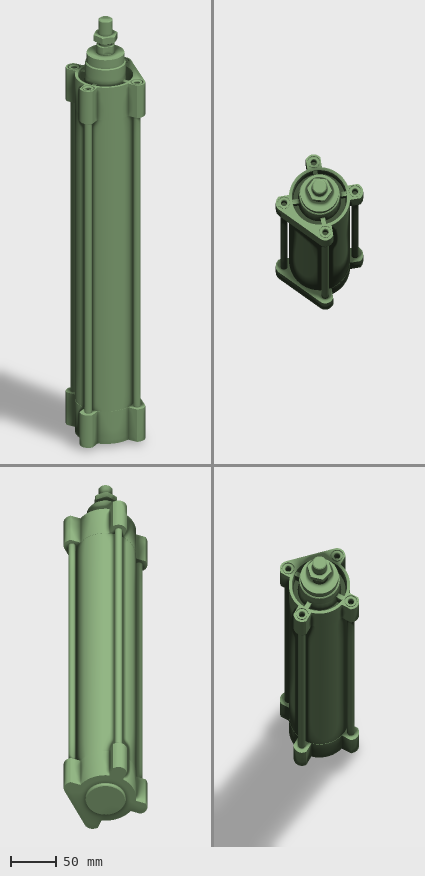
import cadquery as cq
import math

total_height = 513.0

flange_width = 75.0
cap_height = 40.0
cap_diameter = 68.0
barrel_diameter = 67.5
lug_spacing = 56.5
lug_neck_width = 16.5
recess_diameter = 61.5
recess_depth = 15.5
recess_draft = 6.0
rib_width = 5.0
rib_drop = 2.0

pilot_diameter = 45.0
pilot_chamfer = 1.0
lower_pilot_height = 4.0
upper_cap_top = 444.5
collar_step_z = 461.5
collar_top_z = 472.0
collar_diameter = 42.0

tie_rod_diameter = 8.0
groove_outer_diameter = 14.5
groove_inner_diameter = 12.0
groove_depth = 2.0
thread_hole_diameter = 6.5
thread_hole_depth = 15.5
thread_hole_mouth = 8.0

rod_diameter = 20.0
rod_flat_width = 17.0
rod_flat_length = 8.5
rod_shoulder_z = 482.0
rod_depth = 51.5
relief_diameter = 14.5
thread_diameter = 16.0
thread_start_z = 484.5
thread_chamfer = 1.0

nut_width = 24.0
nut_height = 7.5
nut_top_z = 495.0
nut_chamfer_height = 0.5
nut_chamfer_width = 1.0

lower_cap_bottom = lower_pilot_height
lower_cap_top = lower_cap_bottom + cap_height
upper_cap_bottom = upper_cap_top - cap_height
half_flange = flange_width / 2
half_spacing = lug_spacing / 2
lug_radius = half_flange - half_spacing
lug_points = [(x, y) for x in (-half_spacing, half_spacing) for y in (-half_spacing, half_spacing)]
rod_bottom_z = collar_top_z - rod_depth


def cylinder(diameter, bottom, top):
    return cq.Workplane("XY").workplane(offset=bottom).circle(diameter / 2).extrude(top - bottom)


def lug(x_side, y_side, bottom):
    """One corner lug: rounded outer corner, short flats and flanks parallel to the diagonal."""
    flat_end = half_flange - lug_neck_width / math.sqrt(2)
    corner = lug_radius * (1 - math.sqrt(0.5))
    axis_crossing = half_flange - flat_end
    profile = (
        cq.Workplane("XY").workplane(offset=bottom)
        .moveTo(x_side * flat_end, y_side * half_flange)
        .lineTo(x_side * half_spacing, y_side * half_flange)
        .threePointArc(
            (x_side * (half_flange - corner), y_side * (half_flange - corner)),
            (x_side * half_flange, y_side * half_spacing),
        )
        .lineTo(x_side * half_flange, y_side * flat_end)
        .lineTo(x_side * axis_crossing, 0)
        .lineTo(0, y_side * axis_crossing)
        .close()
    )
    return profile.extrude(cap_height)


def end_cap(bottom):
    """Round cap with four lugs, filled out to a flat face on the +Y side."""
    cap = cylinder(cap_diameter, bottom, bottom + cap_height)
    for x_side in (-1, 1):
        for y_side in (-1, 1):
            cap = cap.union(lug(x_side, y_side, bottom))
    flat_side = (
        cq.Workplane("XY").workplane(offset=bottom)
        .center(0, half_flange / 2)
        .rect(lug_spacing, half_flange)
        .extrude(cap_height)
    )
    return cap.union(flat_side)


def add_recess(housing):
    """Drafted annular recess around the upper pilot, bridged by four diagonal ribs."""
    recess = (
        cq.Workplane("XY").workplane(offset=upper_cap_top)
        .circle(recess_diameter / 2).extrude(-recess_depth, taper=recess_draft)
    )
    hub_root_diameter = pilot_diameter + 2 * recess_depth * math.tan(math.radians(recess_draft))
    hub = (
        cq.Workplane("XY").workplane(offset=upper_cap_top - recess_depth)
        .circle(hub_root_diameter / 2).extrude(recess_depth, taper=recess_draft)
    )
    pocket = recess.cut(hub)
    for angle in (45, 135):
        rib = (
            cq.Workplane("XY").workplane(offset=upper_cap_top - recess_depth)
            .rect(cap_diameter, rib_width).extrude(recess_depth - rib_drop)
            .rotate((0, 0, 0), (0, 0, 1), angle)
        )
        pocket = pocket.cut(rib)
    return housing.cut(pocket)


def add_pilots(housing):
    upper_pilot = cylinder(pilot_diameter, upper_cap_top, collar_step_z).faces(">Z").chamfer(pilot_chamfer)
    collar = cylinder(collar_diameter, upper_cap_top, collar_top_z)
    lower_pilot = cylinder(pilot_diameter, 0, lower_cap_bottom).faces("<Z").chamfer(pilot_chamfer)
    return housing.union(upper_pilot).union(collar).union(lower_pilot)


def add_tie_rods(housing):
    for x, y in lug_points:
        tie_rod = cylinder(tie_rod_diameter, lower_cap_top, upper_cap_bottom)
        housing = housing.union(tie_rod.translate((x, y, 0)))
    return housing


def add_lug_holes(housing):
    """Ring groove and countersunk thread hole in the top of every upper lug."""
    groove = cylinder(groove_outer_diameter, upper_cap_top - groove_depth, upper_cap_top).cut(
        cylinder(groove_inner_diameter, upper_cap_top - groove_depth, upper_cap_top)
    )
    countersink_depth = (thread_hole_mouth - thread_hole_diameter) / 2
    countersink = (
        cq.Workplane("XY").workplane(offset=upper_cap_top)
        .circle(thread_hole_mouth / 2).extrude(-countersink_depth, taper=45)
    )
    hole = cylinder(thread_hole_diameter, upper_cap_top - thread_hole_depth, upper_cap_top)
    for x, y in lug_points:
        for cutter in (groove, countersink, hole):
            housing = housing.cut(cutter.translate((x, y, 0)))
    return housing


def make_housing():
    """Barrel, both end caps and the tie rods, with a bore for the piston rod."""
    housing = cylinder(barrel_diameter, lower_cap_top, upper_cap_bottom)
    housing = housing.union(end_cap(lower_cap_bottom)).union(end_cap(upper_cap_bottom))
    housing = add_recess(housing)
    housing = add_pilots(housing)
    housing = add_tie_rods(housing)
    housing = add_lug_holes(housing)
    return housing.cut(cylinder(rod_diameter, rod_bottom_z, collar_top_z))


def make_rod():
    """Piston rod with two wrench flats, a thread relief and a plain threaded end."""
    shank = cylinder(rod_diameter, rod_bottom_z, rod_shoulder_z)
    flat_zone = cylinder(rod_diameter, rod_shoulder_z - rod_flat_length, rod_shoulder_z)
    flat_core = (
        cq.Workplane("XY").workplane(offset=rod_shoulder_z)
        .rect(rod_flat_width, rod_diameter).extrude(-rod_flat_length)
    )
    shank = shank.cut(flat_zone.cut(flat_core))
    relief = cylinder(relief_diameter, rod_shoulder_z, thread_start_z)
    thread = cylinder(thread_diameter, thread_start_z, total_height).edges().chamfer(thread_chamfer)
    return shank.union(relief).union(thread)


def make_nut():
    """Hexagon nut with its corners along Y, chamfered at both ends."""
    nut_bottom_z = nut_top_z - nut_height
    corner_diameter = nut_width / math.cos(math.pi / 6)
    blank = (
        cq.Workplane("XY").workplane(offset=nut_bottom_z)
        .polygon(6, corner_diameter).extrude(nut_height)
        .rotate((0, 0, 0), (0, 0, 1), 90)
    )
    envelope = cylinder(corner_diameter, nut_bottom_z, nut_top_z)
    envelope = envelope.edges().chamfer(nut_chamfer_height, nut_chamfer_width)
    return blank.intersect(envelope).cut(cylinder(thread_diameter, nut_bottom_z, nut_top_z))


housing = make_housing().solids()
rod = make_rod().solids()
nut = make_nut().solids()

result = cq.Compound.makeCompound([housing.val(), rod.val(), nut.val()])